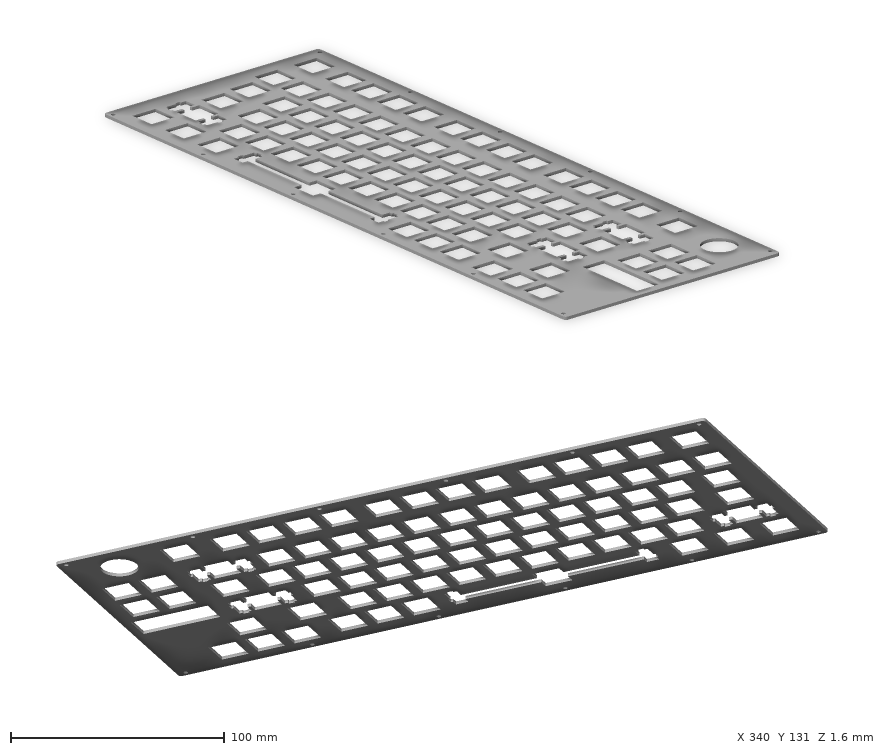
import cadquery as cq

LENGTH = 340.0
WIDTH = 131.0
THICKNESS = 1.6
CORNER_RADIUS = 1.7

UNIT = 19.0
SWITCH = 14.0
FIRST_KEY_X = -154.5
NUMBER_ROW_Y = 26.2
TAB_ROW_Y = NUMBER_ROW_Y - UNIT
CAPS_ROW_Y = TAB_ROW_Y - UNIT
SHIFT_ROW_Y = CAPS_ROW_Y - UNIT
SPACE_ROW_Y = SHIFT_ROW_Y - UNIT
FUNCTION_ROW_Y = NUMBER_ROW_Y + 1.25 * UNIT

FUNCTION_GROUPS = 3
GROUP_KEYS = 4
GROUP_GAP = 4.0
DELETE_Y = FUNCTION_ROW_Y + 0.5

ARROW_X = 118.3
ARROW_UP_Y = SHIFT_ROW_Y - 1.5

NAVIGATION_LEFT_X = 135.5
NAVIGATION_X = (NAVIGATION_LEFT_X, NAVIGATION_LEFT_X + UNIT)
WINDOW_X = sum(NAVIGATION_X) / 2
WINDOW_Y = -11.2
WINDOW_LENGTH = 40.0
WINDOW_WIDTH = 13.3
KNOB_X = 144.5
KNOB_Y = FUNCTION_ROW_Y - 0.7
KNOB_DIAMETER = 18.0

STABILIZER_REACH = 12.0
SPACE_REACH = 50.0
HOUSING_WIDTH = 6.5
HOUSING_TOP = 5.5
HOUSING_BOTTOM = -6.8
FOOT_WIDTH = 3.0
FOOT_DEPTH = 1.0
EAR_LENGTH = 1.0
EAR_TOP = 2.5
EAR_BOTTOM = -0.5
WIRE_TOP = 2.5
WIRE_BOTTOM = -2.5

HOLE_DIAMETER = 2.2
HOLE_COLUMNS = 6
HOLE_PITCH = 66.3
FIRST_HOLE_X = -166.0
HOLE_ROW_Y = 63.0


def key_x(units):
    """X of a key centre, counted in key units from the first key of a row."""
    return FIRST_KEY_X + units * UNIT


def key_run(first, count, y):
    """Centres of a run of neighbouring single keys."""
    return [(key_x(first + i), y) for i in range(count)]


def function_row():
    """Centres of the escape key, the function key groups and the delete key."""
    centres = [(key_x(0), FUNCTION_ROW_Y), (key_x(14), DELETE_Y)]
    for group in range(FUNCTION_GROUPS):
        shift = (group + 1) * GROUP_GAP
        run = key_run(1 + group * GROUP_KEYS, GROUP_KEYS, FUNCTION_ROW_Y)
        centres += [(x + shift, y) for x, y in run]
    return centres


def stabilizer_outline(centre, reach, turn=1):
    """Corners of a stabilized cutout: switch opening, wire slots, housings, ears and feet.

    A turn of -1 rotates the cutout by half a turn, so that its feet point up.
    """
    switch = SWITCH / 2
    inner = reach - HOUSING_WIDTH / 2
    outer = reach + HOUSING_WIDTH / 2
    ear = outer + EAR_LENGTH
    foot_inner = reach - FOOT_WIDTH / 2
    foot_outer = reach + FOOT_WIDTH / 2
    foot_end = HOUSING_BOTTOM - FOOT_DEPTH
    right_half = [
        (switch, switch),
        (switch, WIRE_TOP),
        (inner, WIRE_TOP),
        (inner, HOUSING_TOP),
        (outer, HOUSING_TOP),
        (outer, EAR_TOP),
        (ear, EAR_TOP),
        (ear, EAR_BOTTOM),
        (outer, EAR_BOTTOM),
        (outer, HOUSING_BOTTOM),
        (foot_outer, HOUSING_BOTTOM),
        (foot_outer, foot_end),
        (foot_inner, foot_end),
        (foot_inner, HOUSING_BOTTOM),
        (inner, HOUSING_BOTTOM),
        (inner, WIRE_BOTTOM),
        (switch, WIRE_BOTTOM),
        (switch, -switch),
    ]
    left_half = [(-x, y) for x, y in reversed(right_half)]
    return [(centre[0] + turn * x, centre[1] + turn * y) for x, y in right_half + left_half]


switches = function_row()

backspace = (key_x(13.5), NUMBER_ROW_Y)
switches += key_run(0, 13, NUMBER_ROW_Y)

switches += key_run(0.25, 1, TAB_ROW_Y) + key_run(1.5, 12, TAB_ROW_Y) + key_run(13.75, 1, TAB_ROW_Y)

enter = (key_x(13.375), CAPS_ROW_Y)
switches += key_run(0.375, 1, CAPS_ROW_Y) + key_run(1.75, 11, CAPS_ROW_Y)

left_shift = (key_x(0.625), SHIFT_ROW_Y)
switches += key_run(2.25, 10, SHIFT_ROW_Y) + key_run(12.625, 1, SHIFT_ROW_Y)

space = (key_x(6.375), SPACE_ROW_Y)
MODIFIER_UNITS = 1.25
for modifier in range(3):
    switches += key_run(0.125 + MODIFIER_UNITS * modifier, 1, SPACE_ROW_Y)
switches += key_run(10, 3, SPACE_ROW_Y)

switches += [(ARROW_X, ARROW_UP_Y)]
switches += [(ARROW_X + i * UNIT, ARROW_UP_Y - UNIT) for i in (-1, 0, 1)]
switches += [(x, y) for x in NAVIGATION_X for y in (NUMBER_ROW_Y, TAB_ROW_Y)]

holes = [
    (FIRST_HOLE_X + i * HOLE_PITCH, y)
    for i in range(HOLE_COLUMNS)
    for y in (-HOLE_ROW_Y, HOLE_ROW_Y)
]

stabilizers = [stabilizer_outline(key, STABILIZER_REACH) for key in (backspace, enter, left_shift)]
stabilizers.append(stabilizer_outline(space, SPACE_REACH, turn=-1))

sketch = (
    cq.Workplane("XY", origin=(0, 0, -THICKNESS / 2))
    .rect(LENGTH, WIDTH)
    .pushPoints(switches)
    .rect(SWITCH, SWITCH)
    .pushPoints(holes)
    .circle(HOLE_DIAMETER / 2)
    .pushPoints([(KNOB_X, KNOB_Y)])
    .circle(KNOB_DIAMETER / 2)
    .pushPoints([(WINDOW_X, WINDOW_Y)])
    .rect(WINDOW_LENGTH, WINDOW_WIDTH)
)
for outline in stabilizers:
    sketch = sketch.polyline(outline).close()

plate = sketch.extrude(THICKNESS)
result = plate.edges("|Z").edges("<X or >X").fillet(CORNER_RADIUS)